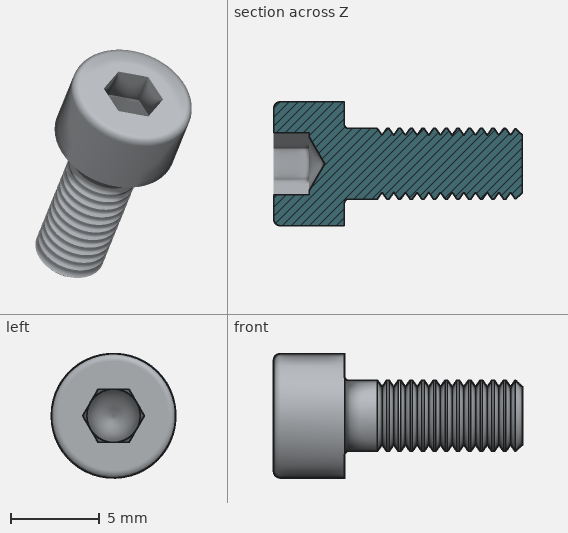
import cadquery as cq
import math

total_length = 14
head_diameter = 7
head_length = 4.0
head_edge_radius = 0.4
shank_diameter = 4.0
neck_fillet_radius = 0.2

thread_start = 5.84
groove_count = 12
groove_depth = 0.38
groove_half_width = 0.27
tip_chamfer_length = 0.4

socket_across_flats = 3.0
socket_depth = 2.0
socket_cone_angle = 120

shank_radius = shank_diameter / 2
root_radius = shank_radius - groove_depth
thread_end = total_length - tip_chamfer_length
first_root = thread_start + groove_half_width
last_root = thread_end - groove_half_width
pitch = (last_root - first_root) / (groove_count - 1)


def make_head():
    head = cq.Workplane("YZ").circle(head_diameter / 2).extrude(head_length)
    return head.faces("<X").edges().fillet(head_edge_radius)


def make_shank():
    """Revolve the half profile of the neck, plain shank, thread and tip."""
    neck_end = head_length + neck_fillet_radius
    neck_radius = shank_radius + neck_fillet_radius
    arc_offset = neck_fillet_radius * (1 - math.sqrt(0.5))
    profile = (
        cq.Workplane("XY")
        .moveTo(head_length, 0)
        .lineTo(head_length, neck_radius)
        .threePointArc(
            (head_length + arc_offset, shank_radius + arc_offset),
            (neck_end, shank_radius),
        )
    )
    for index in range(groove_count):
        root = first_root + index * pitch
        profile = (
            profile.lineTo(root - groove_half_width, shank_radius)
            .lineTo(root, root_radius)
            .lineTo(root + groove_half_width, shank_radius)
        )
    profile = profile.lineTo(total_length, root_radius).lineTo(total_length, 0).close()
    return profile.revolve(360, (0, 0, 0), (1, 0, 0))


def make_socket():
    across_corners = socket_across_flats / math.cos(math.pi / 6)
    hexagon = cq.Workplane("YZ").polygon(6, across_corners).extrude(socket_depth)
    cone_radius = socket_across_flats / 2
    cone_height = cone_radius / math.tan(math.radians(socket_cone_angle / 2))
    cone = (
        cq.Workplane("XY")
        .moveTo(socket_depth, 0)
        .lineTo(socket_depth, cone_radius)
        .lineTo(socket_depth + cone_height, 0)
        .close()
        .revolve(360, (0, 0, 0), (1, 0, 0))
    )
    return hexagon.union(cone)


result = make_head().union(make_shank()).cut(make_socket())